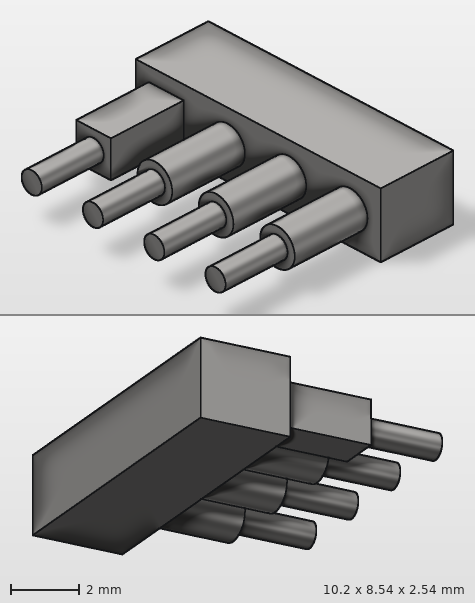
import cadquery as cq

contact_count = 4
pitch = 2.54
housing_depth = 3.0
sleeve_width = 1.44
sleeve_length = 3.0
pin_diameter = 0.84
total_depth = 8.54

housing_length = contact_count * pitch
pin_length = total_depth - housing_depth - sleeve_length
sleeve_back_y = 0.0
pin_back_y = sleeve_back_y - sleeve_length
contact_positions = [(i - (contact_count - 1) / 2) * pitch for i in range(contact_count)]


def section_plane(x, y):
    """Workplane at a contact axis whose extrusions run toward -Y."""
    return cq.Workplane("XZ", origin=(x, y, 0))


def make_housing():
    """Plain block behind the contacts."""
    return cq.Workplane("XY").box(
        housing_length, housing_depth, pitch, centered=(True, False, True)
    )


def make_square_sleeve(x):
    """Square sleeve marking the first contact."""
    return section_plane(x, sleeve_back_y).rect(sleeve_width, sleeve_width).extrude(sleeve_length)


def make_round_sleeve(x):
    """Round sleeve standing on the housing front."""
    return section_plane(x, sleeve_back_y).circle(sleeve_width / 2).extrude(sleeve_length)


def make_pin(x):
    """Thin round pin standing on the end of a sleeve."""
    return section_plane(x, pin_back_y).circle(pin_diameter / 2).extrude(pin_length)


housing = make_housing()
square_sleeve = make_square_sleeve(contact_positions[0])
round_sleeves = [make_round_sleeve(x) for x in contact_positions[1:]]
pins = [make_pin(x) for x in contact_positions]

result = cq.Compound.makeCompound([
    housing.val(),
    square_sleeve.val(),
    *[sleeve.val() for sleeve in round_sleeves],
    *[pin.val() for pin in pins],
])